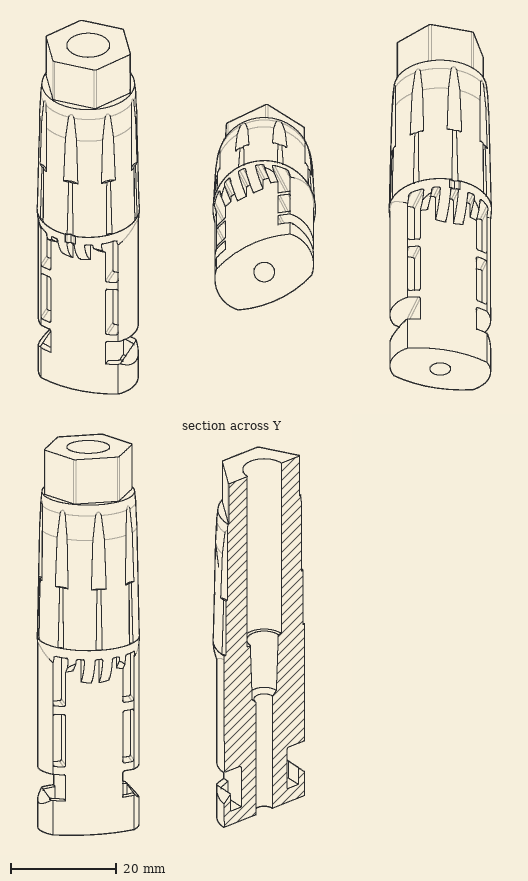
import cadquery as cq
import math

top_z = 75.35
hex_base_z = 66.5
nut_bend_z = 64.4
nut_shoulder_z = 59.6
scallop_base_z = 49.8
collar_z = 37.8
slot_top_z = 35.95

hex_flats = 14.9
hex_corner_radius = 0.5

nut_top_radius = 8.8
nut_bend_radius = 9.05
nut_shoulder_radius = 9.3
nut_base_radius = 9.7
collar_diameter = 19.5
collar_radius = collar_diameter / 2

grip_count = 8
scallop_radius = 2.9
scallop_floor_radius = 9.0
flute_radius = 0.7
flute_floor_radius = 9.35

keyway_width = 2.1
keyway_valley_width = 1.5
keyway_step_y = -9.5
keyway_valley_y = -9.3

body_half_x = 9.7
body_half_y = 6.1
edge_x = 7.8
edge_y = 4.6

web_half_thickness = 1.5
pocket_inner_x = 5.6
pocket_spans = [(13.65, 24.0), (25.7, slot_top_z)]
corner_radius = 0.4

rib_slot_width = 1.5
rib_slot_pitch = 3.5
rib_slot_bottom_z = 27.1

rib_inner_x = rib_slot_pitch
rib_slope_outer = (7.8, 34.6)
rib_slope_inner = (5.4, 32.55)

notch_bottom_z = 6.85
notch_top_z = 12.05
notch_chamfer_x = 8.15
notch_chamfer_bottom_z = notch_bottom_z - (body_half_x - notch_chamfer_x)

recess_depth = 3.8
recess_inner_half_y = 4.1
recess_outer_half_y = 2.95

bore_entry_radius = 4.1
bore_taper_top_radius = 3.3
bore_taper_bottom_radius = 2.9
bore_passage_radius = 1.95
bore_taper_bottom_z = 25.7
bore_funnel_bottom_z = bore_taper_bottom_z - (bore_taper_bottom_radius - bore_passage_radius)

reach = collar_diameter


def box_between(x_range, y_range, z_range):
    sizes = [high - low for low, high in (x_range, y_range, z_range)]
    return (
        cq.Workplane("XY")
        .box(*sizes, centered=False)
        .translate((x_range[0], y_range[0], z_range[0]))
    )


def make_hexagon():
    corner_diameter = hex_flats / math.cos(math.pi / 6)
    return (
        cq.Workplane("XY", origin=(0, 0, hex_base_z))
        .polygon(6, corner_diameter)
        .extrude(top_z - hex_base_z)
        .edges("|Z")
        .fillet(hex_corner_radius)
    )


def make_nut():
    nut = (
        cq.Workplane("XZ")
        .moveTo(0, collar_z)
        .lineTo(nut_base_radius, collar_z)
        .lineTo(nut_shoulder_radius, nut_shoulder_z)
        .lineTo(nut_bend_radius, nut_bend_z)
        .lineTo(nut_top_radius, hex_base_z)
        .lineTo(0, hex_base_z)
        .close()
        .revolve(360, (0, 0), (0, 1))
    )
    grooves = (
        (scallop_radius, scallop_floor_radius, scallop_base_z, hex_base_z),
        (flute_radius, flute_floor_radius, collar_z, scallop_base_z),
    )
    for radius, floor_radius, low_z, high_z in grooves:
        cutters = (
            cq.Workplane("XY", origin=(0, 0, low_z))
            .polarArray(floor_radius + radius, 0, 360, grip_count)
            .circle(radius)
            .extrude(high_z - low_z)
        )
        nut = nut.cut(cutters)
    return nut


def make_dome():
    """Half ball below the nut, split into ribs on the broad sides of the plug."""
    dome = (
        cq.Workplane("XY", origin=(0, 0, collar_z))
        .sphere(collar_radius)
        .intersect(box_between((-reach, reach), (-reach, reach), (0, collar_z)))
    )
    for side in (-1, 1):
        y_range = sorted((side * edge_y, side * reach))
        for slot_x in (-rib_slot_pitch, 0, rib_slot_pitch):
            slot = box_between(
                (slot_x - rib_slot_width / 2, slot_x + rib_slot_width / 2),
                y_range,
                (rib_slot_bottom_z, slot_top_z),
            ).edges("|Y and >Z").fillet(corner_radius)
            dome = dome.cut(slot)
        dome = dome.cut(make_rib_slope(side, -1)).cut(make_rib_slope(side, 1))

    keyway = (
        cq.Workplane("XY", origin=(0, 0, slot_top_z))
        .moveTo(-keyway_width / 2, -reach)
        .lineTo(-keyway_width / 2, keyway_step_y)
        .lineTo(-keyway_valley_width / 2, keyway_step_y)
        .lineTo(0, keyway_valley_y)
        .lineTo(keyway_valley_width / 2, keyway_step_y)
        .lineTo(keyway_width / 2, keyway_step_y)
        .lineTo(keyway_width / 2, -reach)
        .close()
        .extrude(collar_z - slot_top_z)
    )
    return dome.cut(keyway)


def make_rib_slope(y_side, x_side):
    """Wedge that trims the underside of one outermost rib."""
    outer_y, outer_z = rib_slope_outer
    inner_y, inner_z = rib_slope_inner
    slope = (outer_z - inner_z) / (outer_y - inner_y)
    start_z = inner_z - slope * (inner_y - edge_y)
    end_z = outer_z + slope * (collar_radius - outer_y)
    return (
        cq.Workplane("YZ", origin=(x_side * rib_inner_x, 0, 0))
        .moveTo(y_side * edge_y, rib_slot_bottom_z)
        .lineTo(y_side * edge_y, start_z)
        .lineTo(y_side * collar_radius, end_z)
        .lineTo(y_side * collar_radius, rib_slot_bottom_z)
        .close()
        .extrude(x_side * (edge_x - rib_inner_x))
    )


def make_plug_body():
    return (
        cq.Workplane("XY")
        .moveTo(edge_x, edge_y)
        .threePointArc((0, body_half_y), (-edge_x, edge_y))
        .threePointArc((-body_half_x, 0), (-edge_x, -edge_y))
        .threePointArc((0, -body_half_y), (edge_x, -edge_y))
        .threePointArc((body_half_x, 0), (edge_x, edge_y))
        .close()
        .extrude(collar_z)
    )


def make_pockets():
    pockets = cq.Workplane("XY")
    for x_side in (-1, 1):
        x_range = sorted((x_side * pocket_inner_x, x_side * edge_x))
        for y_side in (-1, 1):
            y_range = sorted((y_side * web_half_thickness, y_side * reach))
            for z_range in pocket_spans:
                pocket = box_between(x_range, y_range, z_range).edges("|Y").fillet(corner_radius)
                pockets = pockets.add(pocket)
    return pockets.combine()


def make_latch_notch(x_side):
    """Notch through one end of the plug, with a sloping lower lip."""
    notch = (
        cq.Workplane("XZ")
        .moveTo(x_side * pocket_inner_x, notch_bottom_z)
        .lineTo(x_side * notch_chamfer_x, notch_bottom_z)
        .lineTo(x_side * body_half_x, notch_chamfer_bottom_z)
        .lineTo(x_side * reach, notch_chamfer_bottom_z)
        .lineTo(x_side * reach, notch_top_z)
        .lineTo(x_side * (pocket_inner_x + corner_radius), notch_top_z)
        .radiusArc(
            (x_side * pocket_inner_x, notch_top_z - corner_radius),
            -x_side * corner_radius,
        )
        .close()
        .extrude(reach, both=True)
    )
    return notch


def make_ledge_recess(x_side):
    inner_x = x_side * pocket_inner_x
    outer_x = x_side * notch_chamfer_x
    return (
        cq.Workplane("XY", origin=(0, 0, notch_bottom_z - recess_depth))
        .moveTo(inner_x, recess_inner_half_y)
        .lineTo(outer_x, recess_outer_half_y)
        .lineTo(outer_x, -recess_outer_half_y)
        .lineTo(inner_x, -recess_inner_half_y)
        .close()
        .extrude(recess_depth)
    )


def make_bore():
    return (
        cq.Workplane("XZ")
        .moveTo(0, 0)
        .lineTo(bore_passage_radius, 0)
        .lineTo(bore_passage_radius, bore_funnel_bottom_z)
        .lineTo(bore_taper_bottom_radius, bore_taper_bottom_z)
        .lineTo(bore_taper_top_radius, collar_z)
        .lineTo(bore_entry_radius, collar_z)
        .lineTo(bore_entry_radius, top_z)
        .lineTo(0, top_z)
        .close()
        .revolve(360, (0, 0), (0, 1))
    )


plug = make_dome().union(make_plug_body()).cut(make_pockets())
for x_side in (-1, 1):
    plug = plug.cut(make_latch_notch(x_side)).cut(make_ledge_recess(x_side))

result = plug.union(make_nut()).union(make_hexagon()).cut(make_bore())